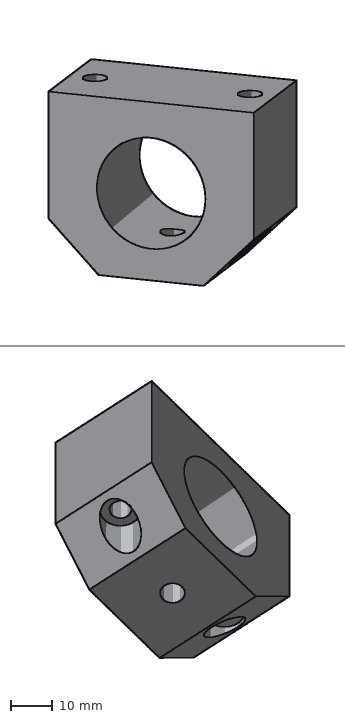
import cadquery as cq

width = 53.0
depth = 30.0
height = 45.0
corner_cut = 13.0

bore_diameter = 28.0
bore_height = 22.0

screw_spacing = width - corner_cut
screw_diameter = 5.3
top_recess_diameter = 6.0
top_recess_depth = 10.0
head_diameter = 10.0
head_seat_height = corner_cut

clamp_hole_diameter = top_recess_diameter


def vertical_cylinder(x, diameter, bottom, top):
    """Cylinder along Z on the mid-depth plane, between two heights."""
    return (
        cq.Workplane("XY", origin=(x, 0, bottom))
        .circle(diameter / 2)
        .extrude(top - bottom)
    )


def make_block():
    return (
        cq.Workplane("XZ")
        .moveTo(-width / 2, height)
        .lineTo(width / 2, height)
        .lineTo(width / 2, corner_cut)
        .lineTo(width / 2 - corner_cut, 0)
        .lineTo(corner_cut - width / 2, 0)
        .lineTo(-width / 2, corner_cut)
        .close()
        .extrude(depth / 2, both=True)
    )


def make_bore():
    return (
        cq.Workplane("XZ")
        .center(0, bore_height)
        .circle(bore_diameter / 2)
        .extrude(depth / 2, both=True)
    )


result = make_block().cut(make_bore())

for side in (-1, 1):
    x = side * screw_spacing / 2
    result = result.cut(vertical_cylinder(x, screw_diameter, 0, height))
    result = result.cut(vertical_cylinder(x, top_recess_diameter, height - top_recess_depth, height))
    result = result.cut(vertical_cylinder(x, head_diameter, 0, head_seat_height))

result = result.cut(vertical_cylinder(0, clamp_hole_diameter, 0, bore_height))